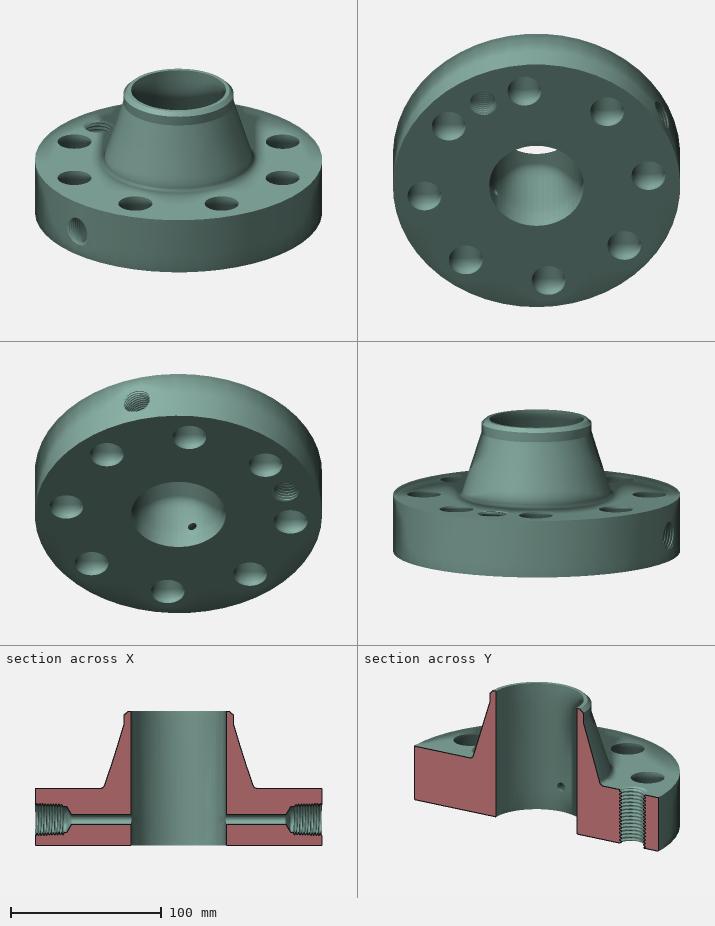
import cadquery as cq
import math

flange_diameter = 190.5
flange_thickness = 38.1

total_height = 89.0
bore_diameter = 62.9
neck_diameter = 73.2
neck_height = 8.8
bevel_height = 2.5
bevel_width = 2.7
hub_base_diameter = 100.0
hub_fillet_radius = 3.0

bolt_count = 8
bolt_circle_diameter = 149.4
bolt_hole_diameter = 22.5
bolt_pitch_angle = 360 / bolt_count

jack_major_diameter = 20.0
jack_minor_diameter = 16.5
jack_pitch = 2.5
jack_mouth_diameter = 20.4
jack_mouth_depth = 1.1

tap_height = 17.3
tap_major_diameter = 21.1
tap_minor_diameter = 18.1
tap_pitch = 1.81
tap_depth = 21.0
tap_taper = 1 / 16
tap_half_taper = math.degrees(math.atan(tap_taper / 2))
tap_drill_point_angle = 118.0
tap_passage_diameter = 6.1

groove_mouth_share = 0.8
groove_root_share = 0.12
groove_overlap = 0.2


def make_body():
    """Flange plate and weld neck, revolved about Z with the bore left open."""
    neck_radius = neck_diameter / 2
    body = (
        cq.Workplane("XZ")
        .moveTo(bore_diameter / 2, 0)
        .lineTo(flange_diameter / 2, 0)
        .lineTo(flange_diameter / 2, flange_thickness)
        .lineTo(hub_base_diameter / 2, flange_thickness)
        .lineTo(neck_radius, total_height - neck_height)
        .lineTo(neck_radius, total_height - bevel_height)
        .lineTo(neck_radius - bevel_width, total_height)
        .lineTo(bore_diameter / 2, total_height)
        .close()
        .revolve(360, (0, 0, 0), (0, 1, 0))
    )
    hub_corner = cq.selectors.RadiusNthSelector(-2)
    return body.edges("%CIRCLE").edges(hub_corner).fillet(hub_fillet_radius)


def make_thread_groove(major_diameter, minor_diameter, pitch, length, half_taper=0.0):
    """Helical V groove along +Z, starting and ending one pitch beyond the length."""
    inner_radius = minor_diameter / 2 - groove_overlap
    outer_radius = major_diameter / 2
    mouth = groove_mouth_share * pitch / 2
    root = groove_root_share * pitch / 2
    start = cq.Vector(0, 0, -pitch)
    helix_length = length + 2 * pitch
    if half_taper:
        path = cq.Wire.makeHelix(pitch, helix_length, inner_radius, start, angle=half_taper)
    else:
        path = cq.Wire.makeHelix(pitch, helix_length, inner_radius, start)
    section = (
        cq.Workplane("XZ", origin=(0, 0, -pitch))
        .moveTo(inner_radius, -mouth)
        .lineTo(outer_radius, -root)
        .lineTo(outer_radius, root)
        .lineTo(inner_radius, mouth)
        .close()
    )
    return section.sweep(cq.Workplane(obj=path), isFrenet=True)


def make_bolt_holes():
    return (
        cq.Workplane("XY")
        .polarArray(bolt_circle_diameter / 2, bolt_pitch_angle / 2, 360, bolt_count)
        .circle(bolt_hole_diameter / 2)
        .extrude(flange_thickness)
    )


def cut_jack_hole(body):
    """Threaded through hole on the -X side with a countersunk mouth."""
    overrun = 2 * jack_pitch
    core = (
        cq.Workplane("XY", origin=(0, 0, -overrun))
        .circle(jack_minor_diameter / 2)
        .extrude(flange_thickness + 2 * overrun)
    )
    groove = make_thread_groove(
        jack_major_diameter, jack_minor_diameter, jack_pitch, flange_thickness
    )
    mouth = cq.Workplane(
        cq.Solid.makeCone(
            jack_minor_diameter / 2,
            jack_mouth_diameter / 2,
            jack_mouth_depth,
            pnt=cq.Vector(0, 0, flange_thickness - jack_mouth_depth),
        )
    )
    position = (-bolt_circle_diameter / 2, 0, 0)
    return body.cut(core.union(groove).translate(position)).cut(mouth.translate(position))


def cut_pressure_tap(body, side_angle):
    """Tap entering at the -Y side, turned about Z by the side angle."""
    mouth_radius = tap_minor_diameter / 2
    end_radius = mouth_radius - tap_depth * tap_taper / 2
    point_depth = end_radius / math.tan(math.radians(tap_drill_point_angle / 2))
    passage_radius = tap_passage_diameter / 2
    core = (
        cq.Workplane("XZ")
        .lineTo(mouth_radius, 0)
        .lineTo(end_radius, tap_depth)
        .lineTo(0, tap_depth + point_depth)
        .close()
        .revolve(360, (0, 0, 0), (0, 1, 0))
    )
    passage = cq.Workplane("XY").circle(passage_radius).extrude(flange_diameter / 2)
    groove = make_thread_groove(
        tap_major_diameter, tap_minor_diameter, tap_pitch, tap_depth - 2 * tap_pitch, -tap_half_taper
    )
    for cutter in (core.union(passage), groove):
        placed = (
            cutter.rotate((0, 0, 0), (1, 0, 0), -90)
            .translate((0, -flange_diameter / 2, tap_height))
            .rotate((0, 0, 0), (0, 0, 1), side_angle)
        )
        body = body.cut(placed)
    return body


result = make_body().cut(make_bolt_holes())
result = cut_jack_hole(result)
for side_angle in (0, 180):
    result = cut_pressure_tap(result, side_angle)